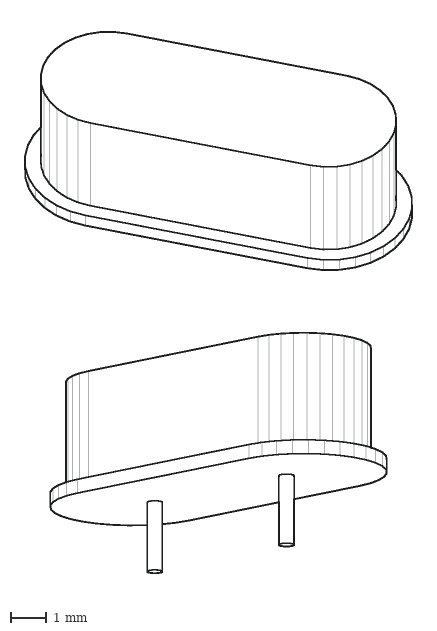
import cadquery as cq
import math

base_length = 11.17
base_width = 4.67
base_height = 0.4

can_length = 10.27
can_width = 3.83
can_height = 3.2

facets_per_end = 16

pin_diameter = 0.43
pin_length = 2.0
pin_pitch = 5.0
pin_pair_offset = -0.08


def faceted_stadium(length, width, height, bottom_z):
    """Prism with two parallel long sides and half-round ends built from flat facets."""
    radius = width / 2
    end_center_x = length / 2 - radius
    outline = []
    for side, start_angle in ((1, -math.pi / 2), (-1, math.pi / 2)):
        for corner in range(facets_per_end + 1):
            angle = start_angle + math.pi * corner / facets_per_end
            x = side * end_center_x + radius * math.cos(angle)
            y = radius * math.sin(angle)
            outline.append((x, y))
    return cq.Workplane("XY").workplane(offset=bottom_z).polyline(outline).close().extrude(height)


def lead_pin(center_x):
    """Round pin running down from the underside of the base."""
    return cq.Workplane("XY").center(center_x, 0).circle(pin_diameter / 2).extrude(-pin_length)


base = faceted_stadium(base_length, base_width, base_height, 0)
can = faceted_stadium(can_length, can_width, can_height, base_height)

pins = []
for side in (-1, 1):
    pin = lead_pin(pin_pair_offset + side * pin_pitch / 2)
    pins.append(pin.val())

result = cq.Compound.makeCompound([base.val(), can.val(), *pins])